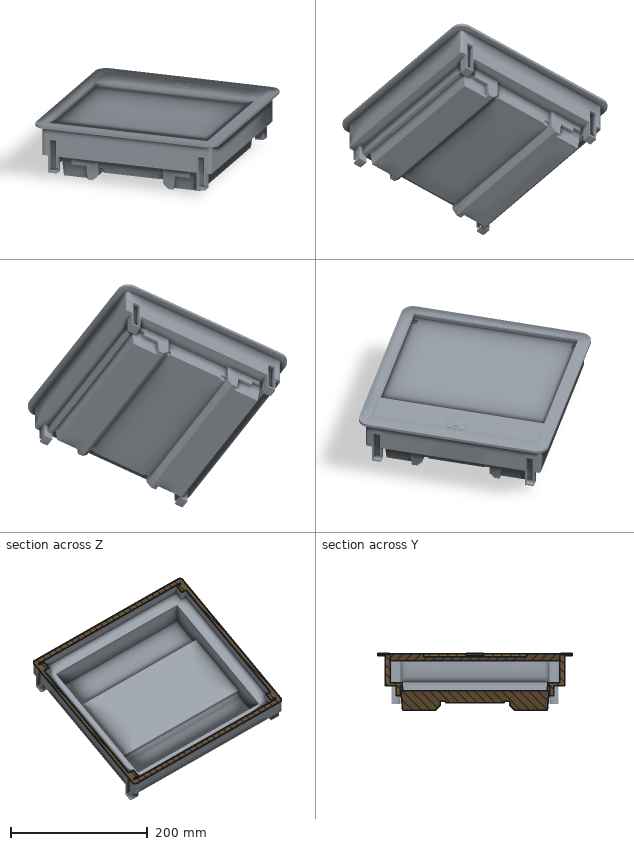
import cadquery as cq
import math


outer_side = 285.0
outer_radius = 17.0
trim_thickness = 2.8
flange_thickness = 1.5
trim_bottom = -trim_thickness
flange_bottom = trim_bottom - flange_thickness
opening_side = 251.5
opening_half = opening_side / 2

housing_side = 263.3
housing_half = housing_side / 2
housing_radius = 4.3
housing_bottom = -48.5
side_rim = 2.3
front_rim = 0.9
floor_thickness = 5.7

leg_outer_x = 122.0
leg_inner_x = 108.5
leg_inner_y = 117.5
leg_bottom = -74.7
leg_corner_radius = 2.3
slot_outer_x = 120.3
slot_inner_x = 110.0
slot_depth = 10.5
slot_top = -24.2
slot_bottom = -72.0
notch_height = 3.5
notch_bevel = 2.3

rail_outer_x = 115.5
rail_bottom = -62.7
rib_half_length = 55.0
rib_height = 0.9

lid_top = -0.5
lid_thickness = 10.8
lid_recess = 7.5
strip_front_y = 75.5
lid_bottom = lid_top - lid_thickness
plate_top = lid_top - lid_recess
lid_half_x = opening_half - side_rim
lid_front_y = front_rim - opening_half
grip_width = 7.5
grip_length = 9.5
grip_gap = 3.5
grip_depth = 2.3

flap_half_x = 74.5
flap_front_y = 91.8
flap_thickness = 4.5
flap_radius = 1.7

button_width = 24.8
button_front_y = 95.2
button_back_y = 118.5
button_thickness = 2.8
button_radius = 2.5
mark_width = 6.8
mark_length = 4.0
mark_front_y = 112.5
mark_depth = 0.9

tray_half_x = 109.2
tray_half_y = 111.0
tray_bottom = -84.5
tray_draft = 5.0
tray_wall = 3.5
bay_inner_x = 50.7
bay_chamfer = 7.7
chamfer_angle = 45.0
bridge_bottom = -73.0
bridge_notch_width = 8.0
bridge_notch_top = -66.0
bridge_notch_depth = 2.0
ear_y = 115.0
ear_outer_x = 105.0
ear_step_x = 91.8
ear_low_x = 68.7
ear_low_bottom_x = 66.5
ear_step_z = -56.1
ear_low_z = -63.8


def block(x0, x1, y0, y1, z0, z1):
    """Box between two opposite corners, whichever way round they are given."""
    size = (abs(x1 - x0), abs(y1 - y0), abs(z1 - z0))
    middle = ((x0 + x1) / 2, (y0 + y1) / 2, (z0 + z1) / 2)
    return cq.Workplane("XY").box(*size).translate(middle)


def rounded_square(side, radius, z0, z1):
    """Square plate around the Z axis with rounded corners."""
    half = side / 2
    return block(-half, half, -half, half, z0, z1).edges("|Z").fillet(radius)


def make_trim():
    """Flat frame around the lid opening."""
    ring = rounded_square(outer_side, outer_radius, trim_bottom, 0)
    return ring.cut(block(-opening_half, opening_half, -opening_half, opening_half, trim_bottom, 0))


def make_leg(notch_side):
    """Leg at the -X, -Y corner; notch_side is -1 for a notch in its outer wall, 1 for its inner wall."""
    leg = block(-leg_outer_x, -leg_inner_x, -housing_half, -leg_inner_y, slot_bottom, lid_bottom)
    foot = block(-leg_outer_x, -leg_inner_x, -housing_half, -leg_inner_y, leg_bottom, slot_bottom)
    rounded_edge = "|Z and <Y and >X" if notch_side > 0 else "|Z and <Y and <X"
    foot = foot.edges(rounded_edge).fillet(leg_corner_radius)
    return leg.union(foot)


def make_leg_slot(notch_side):
    """Slot in the front of a leg, with a bevelled notch that runs out through one side wall."""
    slot_back = -housing_half + slot_depth
    slot = block(-slot_outer_x, -slot_inner_x, -housing_half, slot_back, slot_bottom, slot_top)
    slot_middle_x = -(slot_outer_x + slot_inner_x) / 2
    notch_end_x = -leg_inner_x if notch_side > 0 else -leg_outer_x
    notch_top = slot_bottom + notch_height
    notch = (
        cq.Workplane("YZ")
        .moveTo(-housing_half, slot_bottom)
        .lineTo(slot_back, slot_bottom)
        .lineTo(slot_back, notch_top)
        .lineTo(-housing_half + notch_bevel, notch_top)
        .lineTo(-housing_half, notch_top + notch_bevel)
        .close()
        .extrude(notch_end_x - slot_middle_x)
        .translate((slot_middle_x, 0, 0))
    )
    return slot.union(notch)


def make_rail():
    """Rail between the two legs of the -X side, with a low rib below its middle."""
    rail = block(-rail_outer_x, -tray_half_x, -leg_inner_y, leg_inner_y, rail_bottom, housing_bottom)
    rib_bottom = rail_bottom - rib_height
    rib = block(-rail_outer_x, -tray_half_x, -rib_half_length, rib_half_length, rib_bottom, rail_bottom)
    return rail.union(rib)


def make_housing():
    """Box with flange, rim around the lid, floor opening, slotted legs and rails."""
    housing = rounded_square(outer_side, outer_radius, flange_bottom, trim_bottom)
    housing = housing.union(rounded_square(housing_side, housing_radius, housing_bottom, trim_bottom))
    rim = block(-opening_half, opening_half, -opening_half, opening_half, trim_bottom, lid_top)
    housing = housing.union(rim)
    floor_top = housing_bottom + floor_thickness
    housing = housing.cut(block(-lid_half_x, lid_half_x, lid_front_y, opening_half, floor_top, lid_top))
    hole_x = tray_half_x - tray_wall
    hole_y = tray_half_y - tray_wall
    housing = housing.cut(block(-hole_x, hole_x, -hole_y, hole_y, housing_bottom, floor_top))

    for half_turn in (0, 180):
        for notch_side in (-1, 1):
            leg = make_leg(notch_side)
            slot = make_leg_slot(notch_side)
            if notch_side < 0:
                leg = leg.mirror("YZ")
                slot = slot.mirror("YZ")
            leg = leg.rotate((0, 0, 0), (0, 0, 1), half_turn)
            slot = slot.rotate((0, 0, 0), (0, 0, 1), half_turn)
            housing = housing.union(leg).cut(slot)
        housing = housing.union(make_rail().rotate((0, 0, 0), (0, 0, 1), half_turn))
    return housing


def make_flap_blank():
    """Full outline of the cable flap, as thick as the flap."""
    blank = block(-flap_half_x, flap_half_x, flap_front_y, opening_half, lid_top - flap_thickness, lid_top)
    return blank.edges("|Z and >Y").fillet(flap_radius)


def make_button_blank():
    """Full outline of the latch button, as thick as the button."""
    half = button_width / 2
    blank = block(-half, half, button_front_y, button_back_y, -button_thickness, 0)
    return blank.edges("|Z").fillet(button_radius)


def make_lid():
    """Plate with a raised strip at the back, two grip recesses and a seat for the flap."""
    lid = block(-lid_half_x, lid_half_x, lid_front_y, opening_half, lid_bottom, plate_top)
    strip = block(-lid_half_x, lid_half_x, strip_front_y, opening_half, plate_top, lid_top)
    lid = lid.union(strip)
    grip_y = lid_front_y + grip_gap
    for side in (-1, 1):
        grip = block(
            side * lid_half_x,
            side * (lid_half_x - grip_width),
            grip_y,
            grip_y + grip_length,
            plate_top - grip_depth,
            plate_top,
        )
        lid = lid.cut(grip)
    return lid.cut(make_flap_blank())


def make_flap():
    """Cable flap with a seat for the latch button."""
    return make_flap_blank().cut(make_button_blank())


def make_button():
    """Latch button with a small recessed mark."""
    half = mark_width / 2
    mark = block(-half, half, mark_front_y, mark_front_y + mark_length, -mark_depth, 0)
    return make_button_blank().cut(mark)


def drafted_block(half_x, half_y, bottom):
    """Block hanging from the housing floor whose four sides lean inwards going down."""
    return (
        cq.Workplane("XY", origin=(0, 0, housing_bottom))
        .rect(2 * half_x, 2 * half_y)
        .extrude(bottom - housing_bottom, taper=tray_draft)
    )


def bay_gap(margin):
    """Space between the two 45-degree chamfered bays and below the bridge, grown by a margin."""
    half_x = bay_inner_x + margin
    top = bridge_bottom + margin
    chamfer_top = tray_bottom + bay_chamfer + margin * math.tan(math.radians(chamfer_angle / 2))
    foot_x = half_x + chamfer_top - tray_bottom
    outline = [
        (-foot_x, tray_bottom),
        (-half_x, chamfer_top),
        (-half_x, top),
        (half_x, top),
        (half_x, chamfer_top),
        (foot_x, tray_bottom),
    ]
    return cq.Workplane("XZ").polyline(outline).close().extrude(ear_y, both=True)


def make_ears():
    """Stepped plates at the +X bay, over the full Y length of the tray."""
    outline = [
        (bay_inner_x, housing_bottom),
        (ear_outer_x, housing_bottom),
        (ear_outer_x, ear_step_z),
        (ear_step_x, ear_step_z),
        (ear_step_x, ear_low_z),
        (ear_low_x, ear_low_z),
        (ear_low_bottom_x, tray_bottom),
        (bay_inner_x + bay_chamfer, tray_bottom),
        (bay_inner_x, tray_bottom + bay_chamfer),
    ]
    return cq.Workplane("XZ").polyline(outline).close().extrude(ear_y, both=True)


def make_end_notch(side):
    """Shallow notches in the sloping end faces of the bridge, beside the ears of one bay."""
    inner_x = side * (bay_inner_x - bridge_notch_width)
    notch = block(side * bay_inner_x, inner_x, -ear_y, ear_y, bridge_bottom, bridge_notch_top)
    return notch.cut(
        drafted_block(tray_half_x, tray_half_y - bridge_notch_depth, tray_bottom)
    )


def make_tray():
    """Open tray with two deep bays, a shallow notched bridge between them, and ears at both ends."""
    tray = drafted_block(tray_half_x, tray_half_y, tray_bottom).cut(bay_gap(0))
    for side in (-1, 1):
        ears = make_ears()
        if side < 0:
            ears = ears.mirror("YZ")
        tray = tray.union(ears).cut(make_end_notch(side))
    cavity = drafted_block(tray_half_x - tray_wall, tray_half_y - tray_wall, tray_bottom + tray_wall)
    return tray.cut(cavity.cut(bay_gap(tray_wall)))


trim = make_trim()
housing = make_housing()
lid = make_lid()
flap = make_flap()
button = make_button()
tray = make_tray()

bodies = [trim, housing, lid, flap, button, tray]
result = cq.Compound.makeCompound([body.solids().val() for body in bodies])